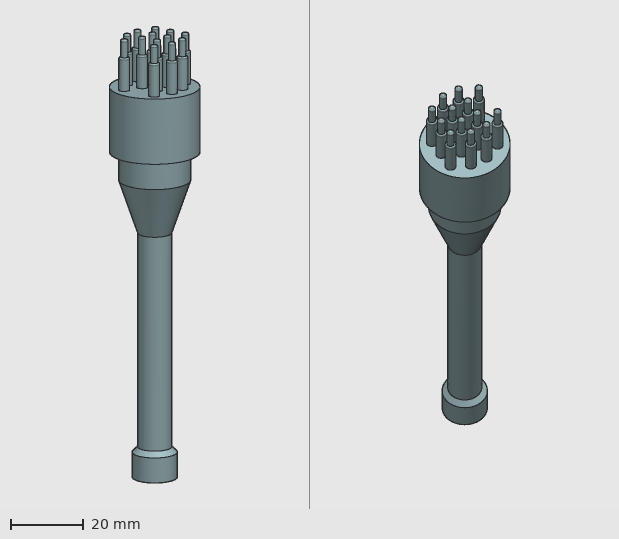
import cadquery as cq

total_height = 126.5

foot_diameter = 12.5
foot_height = 8.7
shaft_diameter = 9.5
foot_chamfer = (foot_diameter - shaft_diameter) / 2
collar_diameter = 20.0
collar_height = 8.0
cone_height = 15.2
head_diameter = 25.0
head_height = 18.7

pin_diameter = 3.0
pin_base_height = 9.5
tip_diameter = 2.0
tip_height = 5.0
edge_radius = 0.5
pin_row_length = 15.0
pin_pitch = pin_row_length / 3

pin_rows = [
    (-1, 0, 1),
    (-1.5, -0.5, 0.5, 1.5),
    (-1.5, -0.5, 0.5, 1.5),
    (-1, 1),
]

pin_base_top = total_height - tip_height
head_top = pin_base_top - pin_base_height
head_bottom = head_top - head_height
cone_top = head_bottom - collar_height
cone_bottom = cone_top - cone_height


def make_handle():
    """Stepped round handle with a chamfered foot and a conical neck."""
    half_profile = [
        (0, 0),
        (foot_diameter / 2, 0),
        (foot_diameter / 2, foot_height - foot_chamfer),
        (shaft_diameter / 2, foot_height),
        (shaft_diameter / 2, cone_bottom),
        (collar_diameter / 2, cone_top),
        (collar_diameter / 2, head_bottom),
        (head_diameter / 2, head_bottom),
        (head_diameter / 2, head_top),
        (0, head_top),
    ]
    return cq.Workplane("XZ").polyline(half_profile).close().revolve(360, (0, 0), (0, 1))


def rounded_rod(diameter, bottom, top):
    """Upright rod on the Z axis with its top edge rounded over."""
    rod = cq.Workplane("XY").workplane(offset=bottom).circle(diameter / 2).extrude(top - bottom)
    return rod.faces(">Z").edges().fillet(edge_radius)


def make_pin():
    """Stepped pin: a thick base standing on the head and a thin tip rising through it."""
    base = rounded_rod(pin_diameter, head_top, pin_base_top)
    tip = rounded_rod(tip_diameter, head_top, total_height)
    return base.union(tip)


result = make_handle()
pin = make_pin()
first_row_y = (len(pin_rows) - 1) / 2 * pin_pitch
for row_index, row in enumerate(pin_rows):
    row_y = first_row_y - row_index * pin_pitch
    for column in row:
        result = result.union(pin.translate((column * pin_pitch, row_y, 0)))